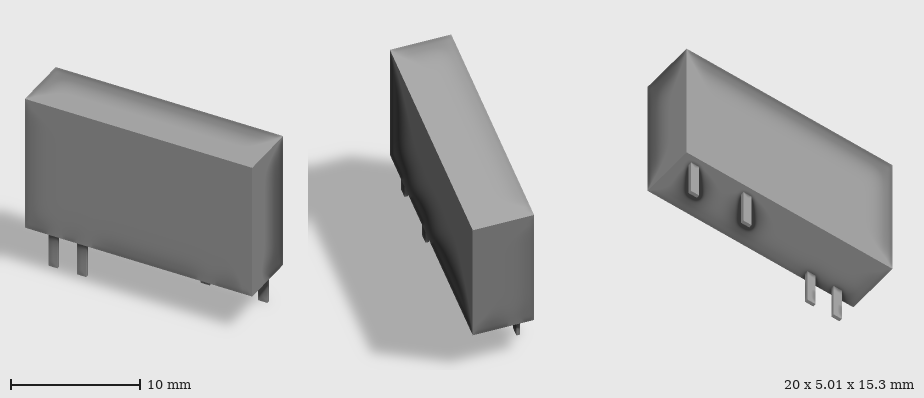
import cadquery as cq

case_length = 20.0
case_thickness = 5.01
case_height = 12.0

pin_width = 0.8
pin_thickness = 0.3
pin_length = 3.3

front_row_inset = 0.7
row_spacing = 3.54
front_row_y = front_row_inset - case_thickness / 2
back_row_y = front_row_y + row_spacing

first_pin_inset = 2.16
front_pin_pitch = 2.54
back_pin_pitch = 2 * front_pin_pitch
row_shift = 11.47
first_front_pin_x = first_pin_inset - case_length / 2
first_back_pin_x = first_front_pin_x + row_shift


def make_case():
    return cq.Workplane("XY").box(
        case_length, case_thickness, case_height, centered=(True, True, False)
    )


def make_pin_pair(first_x, pitch, row_y):
    """Two rectangular pins running down from the underside of the case."""
    centres = [(first_x, row_y), (first_x + pitch, row_y)]
    return (
        cq.Workplane("XY")
        .pushPoints(centres)
        .rect(pin_width, pin_thickness)
        .extrude(-pin_length)
    )


result = (
    make_case()
    .union(make_pin_pair(first_front_pin_x, front_pin_pitch, front_row_y))
    .union(make_pin_pair(first_back_pin_x, back_pin_pitch, back_row_y))
)